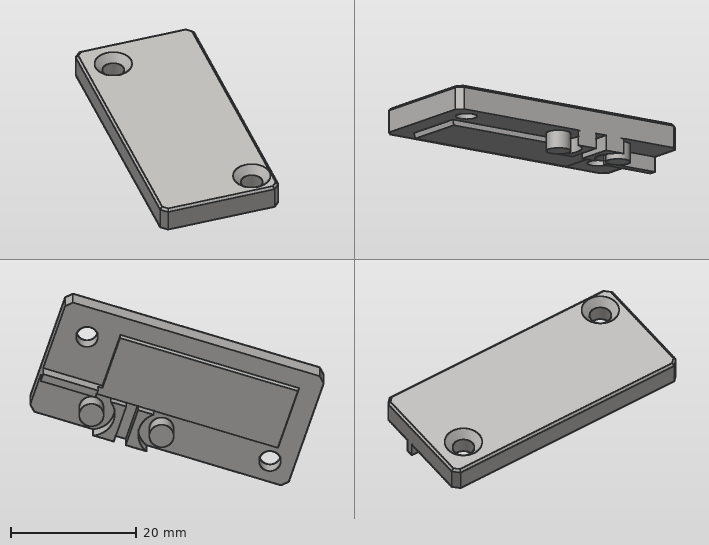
import cadquery as cq

length = 43.5
width = 20
overall_height = 6.9
plate_thickness = 4.0
corner_chamfer = 1.0
top_chamfer = 0.4

hole_diameter = 3.5
countersink_diameter = 6.0
countersink_angle = 90
hole_centers = [(5.0, 5.0), (39.5, 16.55)]

rail_front = 12.3
rail_thickness = 1.25
rail_back = rail_front + rail_thickness
rail_length = 9.22
rail_depth = 2.5
pin_diameter = 3.9
pin_depth = overall_height - plate_thickness
pin_y = 16.55
pin_spacing = 11.8
first_pin_x = 9.5
second_pin_x = first_pin_x + pin_spacing
block_gap = 2.0
block_relief_radius = 3.75

step_left = 9.95
step_right = 40
step_front = 3.0
step_depth = 0.9
step_slope_inset = 0.17


def hanging_box(x_min, x_max, y_min, y_max, depth):
    """Box below the plate, with its top on the plate underside."""
    box = cq.Workplane("XY").box(x_max - x_min, y_max - y_min, depth, centered=False)
    return box.translate((x_min, y_min, -depth))


def hanging_cylinder(x, y, radius, depth):
    """Upright cylinder below the plate."""
    return cq.Workplane("XY").center(x, y).circle(radius).extrude(-depth)


def make_plate():
    plate = cq.Workplane("XY").box(length, width, plate_thickness, centered=False)
    plate = plate.edges("|Z").chamfer(corner_chamfer)
    return plate.faces(">Z").edges().chamfer(top_chamfer)


def make_step():
    def outline(workplane, inset):
        x_max = step_right - inset
        y_min = step_front + inset
        corners = [(step_left, y_min), (x_max, y_min), (x_max, rail_back), (step_left, rail_back)]
        return workplane.polyline(corners).close()

    top = outline(cq.Workplane("XY"), 0)
    return outline(top.workplane(offset=-step_depth), step_slope_inset).loft(ruled=True)


def make_rail():
    rail = hanging_box(0, rail_length, rail_front, rail_back, rail_depth)
    link = hanging_box(rail_length, step_left, rail_front, rail_back, step_depth)
    return rail.union(link)


def make_blocks():
    """Two blocks between the pins, each hollowed concentrically with its pin."""
    middle_x = (first_pin_x + second_pin_x) / 2
    blocks = hanging_box(first_pin_x, second_pin_x, rail_back, width, rail_depth)
    gap = hanging_box(middle_x - block_gap / 2, middle_x + block_gap / 2, rail_back, width, rail_depth)
    blocks = blocks.cut(gap)
    for x in (first_pin_x, second_pin_x):
        blocks = blocks.cut(hanging_cylinder(x, pin_y, block_relief_radius, rail_depth))
    return blocks


result = make_plate().union(make_step()).union(make_rail()).union(make_blocks())

for x in (first_pin_x, second_pin_x):
    result = result.union(hanging_cylinder(x, pin_y, pin_diameter / 2, pin_depth))

result = (
    result.faces(">Z").workplane(origin=(0, 0, plate_thickness))
    .pushPoints(hole_centers)
    .cskHole(hole_diameter, countersink_diameter, countersink_angle)
)